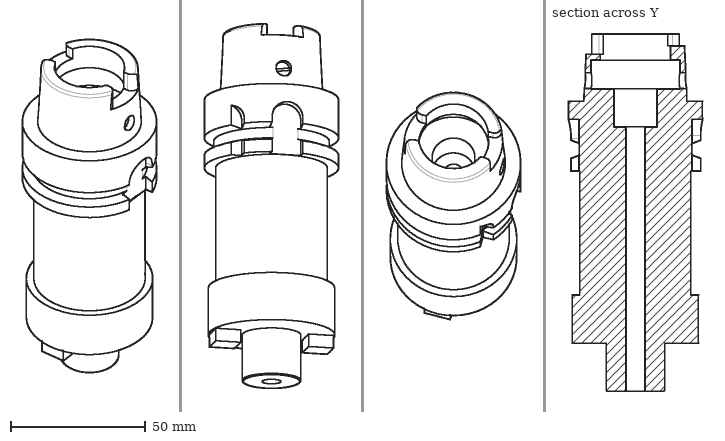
import cadquery as cq
import math


total_length = 133.0

taper_length = 25.0
taper_base_radius = 19.3
taper_tip_radius = 18.1
tip_round = 0.9

flange_radius = 25.0
flange_thickness = 26.1
groove_radius = 21.5
groove_center_depth = 18.0
groove_floor_half_width = 2.0
groove_mouth_half_width = 3.3

body_radius = 20.7
collar_radius = 23.5
collar_length = 18.1
pilot_radius = 10.9
pilot_length = 17.8
pilot_chamfer = 0.4

lug_width = 10.0
lug_height = 4.8
lug_inner_reach = 13.0
lug_outer_reach = 22.6

bore_radius = 13.0
bore_depth = 9.8
undercut_radius = 16.5
cavity_depth = 20.5
socket_radius = 8.0
socket_depth = 34.6
coolant_radius = 3.5

tip_slot_width = 10.5
left_tip_slot_depth = 4.5
right_tip_slot_depth = 7.6
tip_slot_flare_radius = 2.7
tip_flat_reach = 16.4

access_hole_radius = 2.9
access_hole_depth = 17.4

keyway_width = 11.8
wide_keyway_width = 14.0
keyway_top_depth = 6.8
keyway_floor = 21.0
notch_wall = 15.4
notch_floor = 15.7

tip_z = taper_length
flange_bottom_z = -flange_thickness
end_z = tip_z - total_length
collar_bottom_z = end_z + pilot_length
collar_top_z = collar_bottom_z + collar_length
groove_z = -groove_center_depth
diagonal = math.sqrt(0.5)


def outer_form():
    """Revolved outside of the arbor, from the rounded taper tip to the pilot end."""
    below_tip = [
        (taper_base_radius, 0),
        (flange_radius, 0),
        (flange_radius, groove_z + groove_mouth_half_width),
        (groove_radius, groove_z + groove_floor_half_width),
        (groove_radius, groove_z - groove_floor_half_width),
        (flange_radius, groove_z - groove_mouth_half_width),
        (flange_radius, flange_bottom_z),
        (body_radius, flange_bottom_z),
        (body_radius, collar_top_z),
        (collar_radius, collar_top_z),
        (collar_radius, collar_bottom_z),
        (pilot_radius, collar_bottom_z),
        (pilot_radius, end_z + pilot_chamfer),
        (pilot_radius - pilot_chamfer, end_z),
        (0, end_z),
    ]
    round_x = taper_tip_radius - tip_round
    round_z = tip_z - tip_round
    bend = tip_round * diagonal
    section = (
        cq.Workplane("XZ")
        .moveTo(0, tip_z)
        .lineTo(round_x, tip_z)
        .threePointArc((round_x + bend, round_z + bend), (taper_tip_radius, round_z))
    )
    for radius, z in below_tip:
        section = section.lineTo(radius, z)
    return section.close().revolve(360, (0, 0), (0, 1))


def interior():
    """Bore, undercut, socket and coolant passage as one revolved cutter."""
    profile = [
        (0, tip_z),
        (bore_radius, tip_z),
        (bore_radius, tip_z - bore_depth),
        (undercut_radius, tip_z - bore_depth),
        (undercut_radius, tip_z - cavity_depth),
        (socket_radius, tip_z - cavity_depth),
        (socket_radius, tip_z - socket_depth),
        (coolant_radius, tip_z - socket_depth),
        (coolant_radius, end_z),
        (0, end_z),
    ]
    return cq.Workplane("XZ").polyline(profile).close().revolve(360, (0, 0), (0, 1))


def tip_slot(side, depth):
    """Drive slot through the taper wall on the -X (side = -1) or +X (side = 1) side.

    The slot flares outward, which rounds the outer corners of the ring on either side of it.
    """
    half_width = tip_slot_width / 2
    flare_x = tip_flat_reach - tip_slot_flare_radius
    flare_y = half_width + tip_slot_flare_radius
    bend = tip_slot_flare_radius * diagonal
    half_slot = (
        cq.Workplane("XY", origin=(0, 0, tip_z - depth))
        .lineTo(0, half_width)
        .lineTo(side * flare_x, half_width)
        .threePointArc((side * (flare_x + bend), flare_y - bend), (side * tip_flat_reach, flare_y))
        .lineTo(side * tip_flat_reach, taper_base_radius)
        .lineTo(side * taper_base_radius, taper_base_radius)
        .lineTo(side * taper_base_radius, 0)
        .close()
        .extrude(depth)
    )
    return half_slot.union(half_slot.mirror("XZ"))


def access_hole():
    """Cross hole along X through both sides of the taper wall."""
    return (
        cq.Workplane("YZ", origin=(0, 0, tip_z - access_hole_depth))
        .circle(access_hole_radius)
        .extrude(taper_base_radius, both=True)
    )


def keyway(side, center_y, width, floor):
    """Round-topped slot in the -X or +X flange rim, open at the flange underside."""
    radius = width / 2
    arc_z = -keyway_top_depth - radius
    return (
        cq.Workplane("YZ", origin=(side * floor, 0, 0))
        .moveTo(center_y - radius, flange_bottom_z)
        .lineTo(center_y - radius, arc_z)
        .threePointArc((center_y, -keyway_top_depth), (center_y + radius, arc_z))
        .lineTo(center_y + radius, flange_bottom_z)
        .close()
        .extrude(side * (flange_radius - floor))
    )


def drive_lug(side):
    """Rectangular drive lug under the collar on the -Y or +Y side."""
    lug_length = lug_outer_reach - lug_inner_reach
    center_y = side * (lug_inner_reach + lug_outer_reach) / 2
    center_z = collar_bottom_z - lug_height / 2
    return cq.Workplane("XY", origin=(0, center_y, center_z)).box(lug_width, lug_length, lug_height)


result = outer_form().cut(interior())

for side, depth in [(-1, left_tip_slot_depth), (1, right_tip_slot_depth)]:
    result = result.cut(tip_slot(side, depth))

result = result.cut(access_hole())

result = result.cut(keyway(-1, 0, keyway_width, keyway_floor))
result = result.cut(keyway(1, 0, wide_keyway_width, keyway_floor))

result = result.cut(keyway(-1, notch_wall + keyway_width / 2, keyway_width, notch_floor))

for side in (-1, 1):
    result = result.union(drive_lug(side))